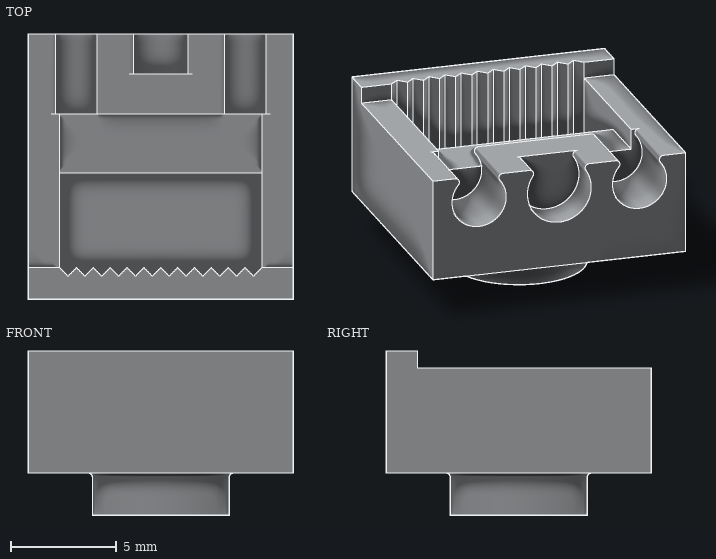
import cadquery as cq
import math

body_size = 12.6
body_height = 5.0
front_lip_rise = 0.8
wall = 1.5
back_y = body_size / 2
front_y = -body_size / 2
front_wall_inner_y = front_y + wall

boss_diameter = 6.51
boss_height = 2.0
boss_fillet = 0.2

cavity_width = body_size - 2 * wall
land_length = 3.8
ledge_length = 2.8
ledge_depth = 1.0
pocket_floor_thickness = 1.0
ledge_back_y = back_y - land_length
pocket_back_y = ledge_back_y - ledge_length

tooth_count = 12
tooth_pitch = cavity_width / tooth_count
tooth_depth = tooth_pitch / 2

groove_axis_depth = 1.2
groove_lip_radius = 0.2
side_groove_radius = 1.35
side_groove_offset = 4.0
center_groove_radius = 1.59
center_groove_length = 1.9


def make_body():
    """Block with a raised strip along the front wall."""
    block = cq.Workplane("XY").box(body_size, body_size, body_height, centered=(True, True, False))
    strip = (
        cq.Workplane("XY", origin=(0, front_y + wall / 2, 0))
        .box(body_size, wall, body_height + front_lip_rise, centered=(True, True, False))
    )
    return block.union(strip)


def add_boss(part):
    """Cylinder under the body, with a small fillet where it meets the underside."""
    boss = cq.Workplane("XY").circle(boss_diameter / 2).extrude(-boss_height)
    joined = part.union(boss)
    root_edge = joined.edges("%CIRCLE").edges(">Z")
    return root_edge.fillet(boss_fillet)


def make_ledge_cut():
    """Shallow step of the cavity, between the rear land and the front wall."""
    length = ledge_back_y - front_wall_inner_y
    center_y = (ledge_back_y + front_wall_inner_y) / 2
    return (
        cq.Workplane("XY", origin=(0, center_y, body_height - ledge_depth))
        .rect(cavity_width, length)
        .extrude(ledge_depth)
    )


def make_pocket_cut():
    """Deep pocket whose front side carries the serrations."""
    half_width = cavity_width / 2
    outline = cq.Workplane("XY", origin=(0, 0, pocket_floor_thickness))
    outline = outline.moveTo(-half_width, front_wall_inner_y)
    for index in range(tooth_count):
        start_x = -half_width + index * tooth_pitch
        outline = outline.lineTo(start_x + tooth_pitch / 2, front_wall_inner_y - tooth_depth)
        outline = outline.lineTo(start_x + tooth_pitch, front_wall_inner_y)
    outline = outline.lineTo(half_width, pocket_back_y).lineTo(-half_width, pocket_back_y).close()
    return outline.extrude(body_height + front_lip_rise - pocket_floor_thickness)


def make_groove_cut(center_x, radius, length):
    """Groove along Y from the back face: a round bottom and a throat with rounded lips."""
    lip_height = groove_axis_depth - groove_lip_radius
    center_distance = radius + groove_lip_radius
    mouth_half_width = math.sqrt(center_distance**2 - lip_height**2)
    tangent_x = mouth_half_width * radius / center_distance
    tangent_z = -groove_axis_depth + lip_height * radius / center_distance
    throat_half_width = mouth_half_width - groove_lip_radius
    return (
        cq.Workplane("XZ", origin=(center_x, back_y, body_height))
        .moveTo(-mouth_half_width, 0)
        .threePointArc((-throat_half_width, -groove_lip_radius), (-tangent_x, tangent_z))
        .threePointArc((0, -groove_axis_depth - radius), (tangent_x, tangent_z))
        .threePointArc((throat_half_width, -groove_lip_radius), (mouth_half_width, 0))
        .close()
        .extrude(length)
    )


part = add_boss(make_body())
part = part.cut(make_ledge_cut()).cut(make_pocket_cut())
for side in (-1, 1):
    part = part.cut(make_groove_cut(side * side_groove_offset, side_groove_radius, land_length))
part = part.cut(make_groove_cut(0, center_groove_radius, center_groove_length))

result = part